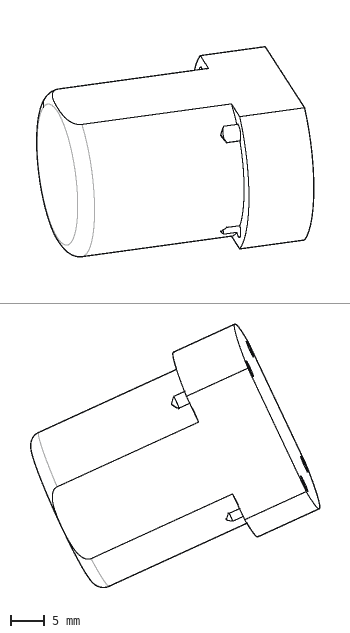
import cadquery as cq
import math

flange_diameter = 30.0
flange_length = 10.0
body_diameter = 25.0
body_length = 25.0
flat_height = 22.0
nose_fillet = 2.0

hole_diameter = 2.5
hole_spacing_x = 19.0
hole_spacing_z = 16.0
hole_depth_in_body = 2.0
drill_point_angle = 118.0

hole_radius = hole_diameter / 2
drill_point_length = hole_radius / math.tan(math.radians(drill_point_angle / 2))


def make_body():
    """Round body along -Y from the flange shoulder, with a rounded nose."""
    body = cq.Workplane("XZ").circle(body_diameter / 2).extrude(body_length)
    return body.faces("<Y").edges().fillet(nose_fillet)


def make_flange():
    """Round flange along +Y."""
    return cq.Workplane("XZ").circle(flange_diameter / 2).extrude(-flange_length)


def make_flats_envelope():
    """Slab whose top and bottom faces are the two flats."""
    total_length = flange_length + body_length
    slab = cq.Workplane("XY").box(flange_diameter, total_length, flat_height)
    return slab.translate((0, (flange_length - body_length) / 2, 0))


def make_drill():
    """Hole volume on the Y axis, from the flange end to its conical tip."""
    profile = (
        cq.Workplane("XY")
        .moveTo(0, flange_length)
        .lineTo(hole_radius, flange_length)
        .lineTo(hole_radius, -hole_depth_in_body)
        .lineTo(0, -hole_depth_in_body - drill_point_length)
        .close()
    )
    return profile.revolve(360, (0, 0, 0), (0, 1, 0))


result = make_flange().union(make_body()).intersect(make_flats_envelope())

drill = make_drill()
for side_x in (-1, 1):
    for side_z in (-1, 1):
        hole = drill.translate((side_x * hole_spacing_x / 2, 0, side_z * hole_spacing_z / 2))
        result = result.cut(hole)